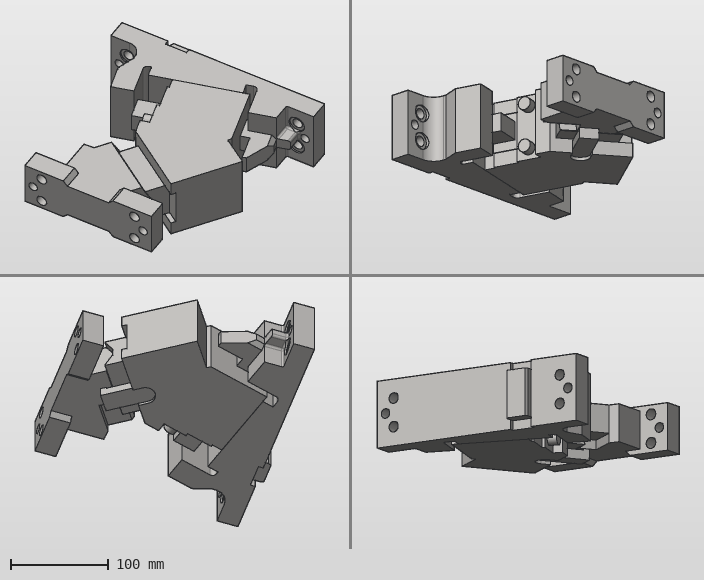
import cadquery as cq
import math


UNIT_WIDTH = 70.0
PLATE_LENGTH = 240.0
PLATE_THICKNESS = 22.5
BOLT_SPACING_Z = 30.0
BOLT_HOLE_DIA = 11.0
DOWEL_HOLE_DIA = 10.0
TONGUE_WIDTH = 19.7

SEAT_ANGLE = 15.0
SEAT_ORIGIN = (-32.6, -47.5)

DRIVE_ANGLE = -35.0
DRIVE_CORNER_ON_SEAT = (-15.5, -84.2)


def tilted_plane(origin, angle):
    """Plane parallel to XY whose local x axis is turned by angle degrees."""
    turn = math.radians(angle)
    x_axis = (math.cos(turn), math.sin(turn), 0)
    return cq.Plane(origin=(origin[0], origin[1], 0), xDir=x_axis, normal=(0, 0, 1))


def located(plane, x, y):
    """World (x, y) of a point given in a tilted plane."""
    point = plane.toWorldCoords((x, y))
    return (point.x, point.y)


SEAT = tilted_plane(SEAT_ORIGIN, SEAT_ANGLE)
DRIVE = tilted_plane(located(SEAT, *DRIVE_CORNER_ON_SEAT), DRIVE_ANGLE)


def slab(plane, points, z_low, z_high):
    """Polygon in the given plane, filled between two Z levels."""
    return cq.Workplane(plane).workplane(offset=z_low).polyline(points).close().extrude(z_high - z_low)


def centred_slab(plane, points, width):
    return slab(plane, points, -width / 2, width / 2)


def rectangle(x_low, x_high, y_low, y_high):
    return [(x_low, y_low), (x_high, y_low), (x_high, y_high), (x_low, y_high)]


def rod_along_y(x, z, diameter, y_low, y_high):
    """Cylinder parallel to Y."""
    plane = cq.Plane(origin=(x, y_low, z), xDir=(1, 0, 0), normal=(0, 1, 0))
    return cq.Workplane(plane).circle(diameter / 2).extrude(y_high - y_low)


SEAT_LENGTH = 82.0
SIDE_STEP_X = -2.2
SIDE_STEP_TOP = -11.5
SIDE_STEP_BOTTOM = -40.5
BOLT_LAND_X = -5.3
BOLT_LAND_BOTTOM = -67.5
RIGHT_SIDE_BOTTOM = -68.6
RIGHT_BEVEL = 3.4
DRIVE_FACE_LENGTH = 86.5
DRIVE_SIDE_HEIGHT = 80.5

RUNNER_START = 6.2
RUNNER_END = 71.5
RUNNER_DEPTH = 22.0
CHANNEL_DEPTH = 5.5

SIDE_BOLT_DIA = 14.0
SIDE_BOLT_LENGTH = 10.0
SIDE_BOLT_DROP = 54.2
SIDE_BOLT_SPACING_Z = 46.0

STOP_TOP = -12.0
STOP_BOTTOM = -37.0
WEAR_PAD_THICKNESS = 1.0
WEAR_PAD_WIDTH = 39.8

CLAW_START = 23.8
CLAW_WIDTH = 20.5
CLAW_REACH = 34.5
CLAW_LIP_START = 28.0
CLAW_BOTTOM = -31.5
CLAW_TOP = -21.4
CLAW_SLOT_STRAIGHT = 10.3

GUIDE_WIDTH = 39.8
GUIDE_START = -10.0
GUIDE_END = 64.3
GUIDE_TOP = -22.5
RIDGE_FLAT_WIDTH = 9.5
RIDGE_ANGLE = 30.0
DRIVER_LEFT = -69.8
DRIVER_SHOULDER_Y = -162.2

NOTCH_TOP = -9.8
NOTCH_FLOOR = -42.0

FOOT_LENGTH = 150.0
FOOT_CENTRE_X = -28.0
FOOT_BOTTOM = -225.0
FOOT_THICKNESS = 22.5
FOOT_WIDTH = 50.0
EAR_LENGTH = 45.5
EAR_BEVEL = (FOOT_WIDTH - GUIDE_WIDTH) / 2
FOOT_BOLT_DIA = 11.5
FOOT_BOLT_OFFSET = 55.0
FOOT_DOWEL_OFFSET = 65.0

LEG_OUTER_X = -83.0
LEG_KNEE_Y = -41.0
LEG_FILLET = 15.0
LEG_WIDEST = (-58.0, 2.5)
LEG_BOTTOM = -27.0
LEFT_SLOT = (-33.0, -25.5)
RIGHT_SLOT = (75.0, 87.5)
SLOT_TOP = 12.5
SLOT_FILLET = 5.0
RIGHT_LEG_X = 88.0
RIGHT_LEG_FILLET = 2.0

FINGER_TIP = -66.7
FINGER_INNER_X = 92.5
FINGER_TIP_X = 97.0
FINGER_OUTER_X = 117.8
FINGER_WIDEST_Y = -37.0
FINGER_ROOT_Y = -11.3
FINGER_CHAMFER = 5.0

RIB_END_X = 102.5
RIB_WIDTH = 12.0
RIB_ROUND = 2.6
RIB_ROOT_FILLET = 2.5

KEY_CENTRE_X = -53.0
KEY_LENGTH = 25.0
KEY_WIDTH = 50.0
KEY_DEPTH = 5.3
KEY_HEIGHT = 9.0
KEY_BEVEL_X = 1.5
KEY_BEVEL_Y = 3.4

COUNTERBORE_DIA = 18.0
COUNTERBORE_DEPTH = 2.0
BASE_BOLT_INSET = 20.0
BASE_DOWEL_INSET = 10.0


def make_ridge(end):
    """V ridge with a flat crest, from the start of the guide to the given end."""
    half = GUIDE_WIDTH / 2
    flat = RIDGE_FLAT_WIDTH / 2
    crest = GUIDE_TOP + (half - flat) * math.tan(math.radians(RIDGE_ANGLE))
    end_plane = cq.Plane(
        origin=DRIVE.toWorldCoords((GUIDE_START, 0)), xDir=DRIVE.yDir, normal=DRIVE.xDir)
    profile = [(GUIDE_TOP, -half), (crest, -flat), (crest, flat), (GUIDE_TOP, half)]
    return cq.Workplane(end_plane).polyline(profile).close().extrude(end - GUIDE_START)


def leg_end_y(x):
    """World Y of the sloped leg end at world x."""
    slope = math.radians(SEAT_ANGLE)
    return SEAT_ORIGIN[1] + (x - SEAT_ORIGIN[0]) * math.tan(slope) + LEG_BOTTOM / math.cos(slope)


def round_upright_edge(body, point, radius):
    """Fillet the Z-parallel edge that passes through a world (x, y) point."""
    x, y = point
    reach = 0.2
    edge = cq.selectors.BoxSelector(
        (x - reach, y - reach, -UNIT_WIDTH), (x + reach, y + reach, UNIT_WIDTH))
    return body.edges("|Z").edges(edge).fillet(radius)


def make_base_frame():
    """Plate with two legs, and slots beside the seat."""
    half = PLATE_LENGTH / 2
    left_slot_corner = located(SEAT, LEFT_SLOT[0], SLOT_TOP)
    right_slot_corner = located(SEAT, RIGHT_SLOT[1], SLOT_TOP)
    left_root = (LEG_OUTER_X, -PLATE_THICKNESS)
    right_root = (RIGHT_LEG_X, -PLATE_THICKNESS)
    outline = [
        (-half, 0),
        (-half, -PLATE_THICKNESS),
        left_root,
        (LEG_OUTER_X, LEG_KNEE_Y),
        located(SEAT, *LEG_WIDEST),
        located(SEAT, LEG_WIDEST[0], LEG_BOTTOM),
        located(SEAT, LEFT_SLOT[0], LEG_BOTTOM),
        left_slot_corner,
        located(SEAT, LEFT_SLOT[1], SLOT_TOP),
        located(SEAT, LEFT_SLOT[1], 0),
        located(SEAT, RIGHT_SLOT[0], 0),
        located(SEAT, RIGHT_SLOT[0], SLOT_TOP),
        right_slot_corner,
        located(SEAT, RIGHT_SLOT[1], LEG_BOTTOM),
        (RIGHT_LEG_X, leg_end_y(RIGHT_LEG_X)),
        right_root,
        (half, -PLATE_THICKNESS),
        (half, 0),
    ]
    frame = centred_slab(cq.Plane.XY(), outline, UNIT_WIDTH)
    frame = round_upright_edge(frame, left_root, LEG_FILLET)
    frame = round_upright_edge(frame, left_slot_corner, SLOT_FILLET)
    frame = round_upright_edge(frame, right_slot_corner, SLOT_FILLET)
    return round_upright_edge(frame, right_root, RIGHT_LEG_FILLET)


def make_rib():
    """Stiffening rib between the right leg and the plate."""
    root_x = RIGHT_LEG_X - RIGHT_LEG_FILLET
    top_y = -PLATE_THICKNESS / 2
    outline = [
        (root_x, top_y),
        (root_x, leg_end_y(root_x)),
        (RIB_END_X, leg_end_y(RIB_END_X)),
        (RIB_END_X, top_y),
    ]
    return centred_slab(cq.Plane.XY(), outline, RIB_WIDTH).faces(">X").edges("|Y").fillet(RIB_ROUND)


def fillet_rib_root(body):
    reach = 0.2
    half = RIB_WIDTH / 2 + reach
    roots = cq.selectors.BoxSelector(
        (RIGHT_LEG_X - reach, -UNIT_WIDTH, -half), (RIGHT_LEG_X + reach, -PLATE_THICKNESS, half))
    return body.edges("|Y").edges(roots).fillet(RIB_ROOT_FILLET)


def make_finger():
    """Finger that hugs the right side of the slider and hangs below the right leg."""
    outline = [
        (SEAT_LENGTH, FINGER_ROOT_Y),
        (SEAT_LENGTH, FINGER_WIDEST_Y),
        (FINGER_INNER_X, FINGER_WIDEST_Y),
        (FINGER_INNER_X, FINGER_TIP),
        (FINGER_TIP_X, FINGER_TIP),
        (FINGER_OUTER_X, FINGER_WIDEST_Y),
        (FINGER_OUTER_X, FINGER_ROOT_Y),
    ]
    finger = centred_slab(SEAT, outline, TONGUE_WIDTH)
    z_top = TONGUE_WIDTH / 2
    corner_cut = (
        cq.Workplane(cq.Plane(
            origin=SEAT.toWorldCoords((FINGER_OUTER_X, FINGER_TIP)), xDir=SEAT.xDir, normal=SEAT.yDir))
        .polyline([(0, -z_top), (-FINGER_CHAMFER, -z_top), (0, FINGER_CHAMFER - z_top)]).close()
        .polyline([(0, z_top), (-FINGER_CHAMFER, z_top), (0, z_top - FINGER_CHAMFER)]).close()
        .extrude(FINGER_ROOT_Y - FINGER_TIP)
    )
    return finger.cut(corner_cut)


def make_key():
    """Locating key with bevelled ends, standing out of the back of the plate."""
    half = KEY_LENGTH / 2
    outline = [
        (KEY_CENTRE_X - half, -KEY_DEPTH),
        (KEY_CENTRE_X + half, -KEY_DEPTH),
        (KEY_CENTRE_X + half, KEY_HEIGHT - KEY_BEVEL_Y),
        (KEY_CENTRE_X + half - KEY_BEVEL_X, KEY_HEIGHT),
        (KEY_CENTRE_X - half + KEY_BEVEL_X, KEY_HEIGHT),
        (KEY_CENTRE_X - half, KEY_HEIGHT - KEY_BEVEL_Y),
    ]
    return centred_slab(cq.Plane.XY(), outline, KEY_WIDTH)


def make_key_slot():
    half = KEY_LENGTH / 2
    outline = rectangle(KEY_CENTRE_X - half, KEY_CENTRE_X + half, -KEY_DEPTH, 0)
    return centred_slab(cq.Plane.XY(), outline, UNIT_WIDTH)


def drill_base(body):
    """Two counterbored bolt holes and one dowel hole at each end of the plate."""
    for side in (-1, 1):
        bolt_x = side * (PLATE_LENGTH / 2 - BASE_BOLT_INSET)
        dowel_x = side * (PLATE_LENGTH / 2 - BASE_DOWEL_INSET)
        body = body.cut(rod_along_y(dowel_x, 0, DOWEL_HOLE_DIA, -PLATE_THICKNESS, 0))
        for z in (-BOLT_SPACING_Z / 2, BOLT_SPACING_Z / 2):
            bore_floor = COUNTERBORE_DEPTH - PLATE_THICKNESS
            body = body.cut(rod_along_y(bolt_x, z, BOLT_HOLE_DIA, -PLATE_THICKNESS, 0))
            body = body.cut(rod_along_y(bolt_x, z, COUNTERBORE_DIA, LEG_KNEE_Y, bore_floor))
    return body


def make_base():
    body = fillet_rib_root(make_base_frame().union(make_rib()))
    body = body.union(make_finger())
    body = body.cut(make_key_slot()).union(make_key())
    return drill_base(body)


def make_driver_column():
    """Column between the foot and the sliding face."""
    floor_y = FOOT_BOTTOM + FOOT_THICKNESS / 2
    guide_end = located(DRIVE, GUIDE_END, GUIDE_TOP)
    lean = math.tan(math.radians(DRIVE_ANGLE))
    outline = [
        (DRIVER_LEFT, floor_y),
        (guide_end[0] + (guide_end[1] - floor_y) * lean, floor_y),
        guide_end,
        located(DRIVE, GUIDE_START, GUIDE_TOP),
        located(DRIVE, GUIDE_START, NOTCH_FLOOR),
        (DRIVER_LEFT, DRIVER_SHOULDER_Y),
    ]
    return centred_slab(cq.Plane.XY(), outline, GUIDE_WIDTH)


def make_foot():
    """Mounting foot: two wide ears joined by a waist, with bolt and dowel holes."""
    half = FOOT_LENGTH / 2
    ear = half - EAR_LENGTH
    waist = ear - EAR_BEVEL
    wide = FOOT_WIDTH / 2
    narrow = GUIDE_WIDTH / 2
    upper = [(-half, wide), (-ear, wide), (-waist, narrow), (waist, narrow), (ear, wide), (half, wide)]
    lower = [(x, -z) for x, z in reversed(upper)]
    plane = cq.Plane(origin=(FOOT_CENTRE_X, FOOT_BOTTOM, 0), xDir=(1, 0, 0), normal=(0, -1, 0))
    return cq.Workplane(plane).polyline(upper + lower).close().extrude(-FOOT_THICKNESS)


def drill_foot(body):
    top = FOOT_BOTTOM + FOOT_THICKNESS
    for side in (-1, 1):
        dowel_x = FOOT_CENTRE_X + side * FOOT_DOWEL_OFFSET
        bolt_x = FOOT_CENTRE_X + side * FOOT_BOLT_OFFSET
        body = body.cut(rod_along_y(dowel_x, 0, DOWEL_HOLE_DIA, FOOT_BOTTOM, top))
        for z in (-BOLT_SPACING_Z / 2, BOLT_SPACING_Z / 2):
            body = body.cut(rod_along_y(bolt_x, z, FOOT_BOLT_DIA, FOOT_BOTTOM, top))
    return body


def make_driver():
    body = make_driver_column().union(make_ridge(GUIDE_END))
    claw_entry = slab(DRIVE, rectangle(GUIDE_START, CLAW_START, NOTCH_FLOOR, 0), -GUIDE_WIDTH / 2, NOTCH_TOP)
    body = body.cut(claw_entry)
    return drill_foot(body.union(make_foot()))


def make_slider_block():
    """Main block between the base seat and the drive face."""
    outline = [
        located(SEAT, 0, 0),
        located(SEAT, SEAT_LENGTH, 0),
        located(SEAT, SEAT_LENGTH, RIGHT_SIDE_BOTTOM),
        located(SEAT, SEAT_LENGTH - RIGHT_BEVEL, RIGHT_SIDE_BOTTOM - RIGHT_BEVEL),
        located(DRIVE, DRIVE_FACE_LENGTH, DRIVE_SIDE_HEIGHT),
        located(DRIVE, DRIVE_FACE_LENGTH, 0),
        located(DRIVE, 0, 0),
        located(SEAT, DRIVE_CORNER_ON_SEAT[0], BOLT_LAND_BOTTOM),
        located(SEAT, BOLT_LAND_X, BOLT_LAND_BOTTOM),
        located(SEAT, BOLT_LAND_X, SIDE_STEP_BOTTOM),
        located(SEAT, SIDE_STEP_X, SIDE_STEP_BOTTOM),
        located(SEAT, SIDE_STEP_X, SIDE_STEP_TOP),
        located(SEAT, 0, SIDE_STEP_TOP),
    ]
    return centred_slab(cq.Plane.XY(), outline, UNIT_WIDTH)


def make_runner():
    """Runner on the drive face, with a V groove along its full length."""
    outline = rectangle(RUNNER_START, RUNNER_END, -RUNNER_DEPTH, 0)
    return centred_slab(DRIVE, outline, GUIDE_WIDTH).cut(make_ridge(RUNNER_END))


def make_channel():
    """Open end of the runner channel."""
    return centred_slab(DRIVE, rectangle(RUNNER_END, DRIVE_FACE_LENGTH, 0, CHANNEL_DEPTH), GUIDE_WIDTH)


def make_side_bolts():
    plane = cq.Plane(
        origin=SEAT.toWorldCoords((BOLT_LAND_X, -SIDE_BOLT_DROP)), xDir=SEAT.yDir, normal=-SEAT.xDir)
    return (
        cq.Workplane(plane).rarray(2.5, SIDE_BOLT_SPACING_Z, 1, 2)
        .circle(SIDE_BOLT_DIA / 2).extrude(SIDE_BOLT_LENGTH)
    )


def make_stop():
    """Stop block that bears on the left leg, with the wear pad behind it."""
    block = centred_slab(SEAT, rectangle(LEFT_SLOT[0], SIDE_STEP_X, STOP_BOTTOM, STOP_TOP), TONGUE_WIDTH)
    pad_outline = rectangle(SIDE_STEP_X - WEAR_PAD_THICKNESS, SIDE_STEP_X, SIDE_STEP_BOTTOM, SIDE_STEP_TOP)
    return block.union(centred_slab(SEAT, pad_outline, WEAR_PAD_WIDTH))


def make_claw():
    """Return claw that reaches under the driver and lifts to it at its tip."""
    claw_end = CLAW_START + CLAW_WIDTH
    arm = slab(DRIVE, rectangle(CLAW_START, claw_end, -CLAW_REACH, 0), CLAW_BOTTOM, CLAW_TOP)
    lip_outline = rectangle(CLAW_START, claw_end, -CLAW_REACH, -CLAW_LIP_START)
    return arm.union(slab(DRIVE, lip_outline, CLAW_BOTTOM, -GUIDE_WIDTH / 2))


def make_claw_slot():
    """Round-ended recess under the claw's root."""
    radius = CLAW_WIDTH / 2
    slot = slab(
        DRIVE, rectangle(CLAW_START, CLAW_START + CLAW_WIDTH, 0, CLAW_SLOT_STRAIGHT),
        -UNIT_WIDTH / 2, CLAW_BOTTOM)
    round_end = (
        cq.Workplane(DRIVE).workplane(offset=-UNIT_WIDTH / 2)
        .center(CLAW_START + radius, CLAW_SLOT_STRAIGHT).circle(radius).extrude(CLAW_BOTTOM + UNIT_WIDTH / 2)
    )
    return slot.union(round_end)


def make_slider():
    body = make_slider_block().cut(make_channel()).cut(make_claw_slot())
    for part in (make_runner(), make_stop(), make_side_bolts(), make_claw()):
        body = body.union(part)
    return body


base = make_base()
slider = make_slider()
driver = make_driver()

result = cq.Compound.makeCompound([base.solids().val(), slider.solids().val(), driver.solids().val()])